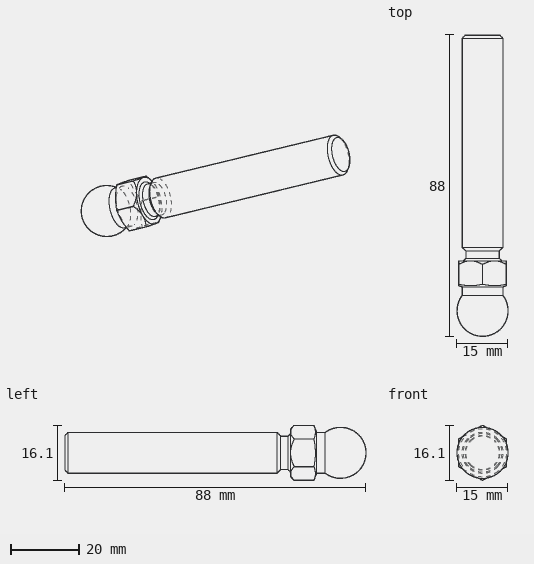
import cadquery as cq
import math

ball_diameter = 15.0
overall_length = 88.0
shank_diameter = 12.0
neck_diameter = 12.0
shank_end_chamfer = 0.92

groove_diameter = 9.8
groove_wall_end = 18.5
groove_wall_length = 1.0
groove_flare = 0.75

hex_across_flats = 14.0
hex_corner_diameter = 16.1
hex_start = 6.95
hex_end = 14.6
hex_chamfer_diameter = 14.0
hex_cone_length = 0.8

ball_radius = ball_diameter / 2
shank_radius = shank_diameter / 2
neck_radius = neck_diameter / 2
groove_radius = groove_diameter / 2
hex_corner_radius = hex_corner_diameter / 2
hex_chamfer_radius = hex_chamfer_diameter / 2
shank_end = overall_length - ball_radius


def make_ball_and_neck():
    """Ball running into the cylindrical neck, which ends at the hexagon."""
    joint = math.sqrt(ball_radius**2 - neck_radius**2)
    return (
        cq.Workplane("XY")
        .moveTo(0, -ball_radius)
        .threePointArc((ball_radius, 0), (neck_radius, joint))
        .lineTo(neck_radius, hex_start)
        .lineTo(0, hex_start)
        .close()
        .revolve(360, (0, 0, 0), (0, 1, 0))
    )


def make_shank():
    """Relief groove and chamfered shank, starting at the hexagon face."""
    profile = [
        (0, hex_end),
        (groove_radius + groove_flare, hex_end),
        (groove_radius, hex_end + groove_flare),
        (groove_radius, groove_wall_end - groove_wall_length),
        (shank_radius, groove_wall_end),
        (shank_radius, shank_end - shank_end_chamfer),
        (shank_radius - shank_end_chamfer, shank_end),
        (0, shank_end),
    ]
    return cq.Workplane("XY").polyline(profile).close().revolve(360, (0, 0, 0), (0, 1, 0))


def make_hexagon():
    """Hexagon with corners up and down, trimmed by a turned envelope."""
    across_corners = hex_across_flats / math.cos(math.pi / 6)
    prism = (
        cq.Workplane("XZ", origin=(0, hex_end, 0))
        .transformed(rotate=(0, 0, 90))
        .polygon(6, across_corners)
        .extrude(hex_end - hex_start)
    )
    envelope_profile = [
        (0, hex_start),
        (neck_radius, hex_start),
        (hex_corner_radius, hex_start + hex_cone_length),
        (hex_corner_radius, hex_end - (hex_corner_radius - hex_chamfer_radius)),
        (hex_chamfer_radius, hex_end),
        (0, hex_end),
    ]
    envelope = (
        cq.Workplane("XY").polyline(envelope_profile).close().revolve(360, (0, 0, 0), (0, 1, 0))
    )
    return prism.intersect(envelope)


result = make_hexagon().union(make_ball_and_neck()).union(make_shank())